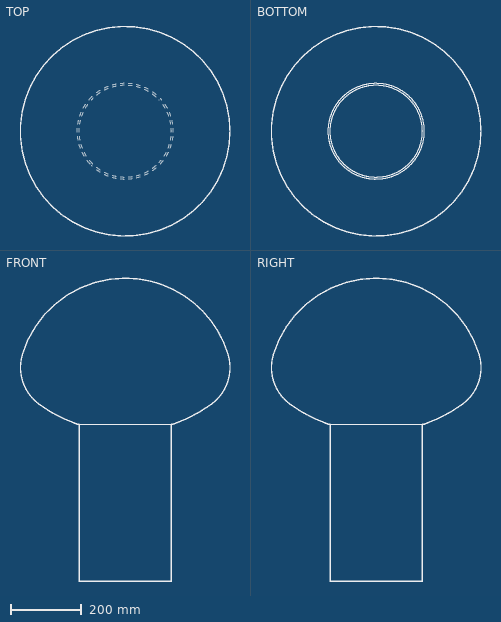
import cadquery as cq
import math

total_height = 860.0
head_radius = 297.5

stem_radius = 131.0
stem_height = 445.5

cap_radius = 305.0
rim_radius = 129.0
base_radius = 415.0

cap_center_z = total_height - cap_radius
rim_center_r = head_radius - rim_radius
rim_center_z = cap_center_z + math.sqrt((cap_radius - rim_radius) ** 2 - rim_center_r**2)
base_center_z = rim_center_z + math.sqrt((base_radius - rim_radius) ** 2 - rim_center_r**2)


def dome_point(center_z, radius, angle):
    """Profile point (r, z) on a dome, at an angle above the horizontal."""
    return (radius * math.cos(angle), center_z + radius * math.sin(angle))


def make_stem():
    """Plain cylinder standing on the ground and carrying the head."""
    return cq.Workplane("XY").circle(stem_radius).extrude(stem_height)


def make_head():
    """Solid of revolution with a flat underside resting on the stem."""
    cap_join_angle = math.atan2(rim_center_z - cap_center_z, rim_center_r)
    base_join_angle = math.atan2(rim_center_z - base_center_z, rim_center_r)
    base_end_angle = math.asin((stem_height - base_center_z) / base_radius)

    base_end = dome_point(base_center_z, base_radius, base_end_angle)
    base_middle = dome_point(base_center_z, base_radius, (base_end_angle + base_join_angle) / 2)
    base_join = dome_point(base_center_z, base_radius, base_join_angle)
    rim_middle = (head_radius, rim_center_z)
    cap_join = dome_point(cap_center_z, cap_radius, cap_join_angle)
    cap_middle = dome_point(cap_center_z, cap_radius, (cap_join_angle + math.pi / 2) / 2)
    cap_top = (0, total_height)

    return (
        cq.Workplane("XZ")
        .moveTo(0, stem_height)
        .lineTo(*base_end)
        .threePointArc(base_middle, base_join)
        .threePointArc(rim_middle, cap_join)
        .threePointArc(cap_middle, cap_top)
        .close()
        .revolve(360, (0, 0, 0), (0, 1, 0))
    )


stem = make_stem()
head = make_head()

result = cq.Compound.makeCompound([stem.val(), head.val()])